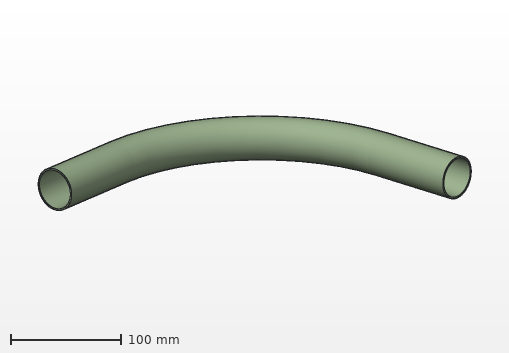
import cadquery as cq

outer_diameter = 40.0
wall_thickness = 1.6
bend_radius = 170
leg_length = 89

outer_radius = outer_diameter / 2
inner_radius = outer_radius - wall_thickness


def straight_leg(plane):
    """Straight tube of leg_length, extruded along the normal of the plane."""
    return cq.Workplane(plane).circle(outer_radius).circle(inner_radius).extrude(leg_length)


def quarter_bend():
    """Tube bent through 90 degrees about the vertical axis at (bend_radius, 0)."""
    return (
        cq.Workplane("XZ")
        .circle(outer_radius)
        .circle(inner_radius)
        .revolve(90, (bend_radius, 0, 0), (bend_radius, -1, 0))
    )


leg_along_y = straight_leg(cq.Plane(origin=(0, 0, 0), xDir=(1, 0, 0), normal=(0, -1, 0)))
leg_along_x = straight_leg(cq.Plane(origin=(bend_radius, bend_radius, 0), xDir=(0, 1, 0), normal=(1, 0, 0)))

result = leg_along_y.union(quarter_bend()).union(leg_along_x)